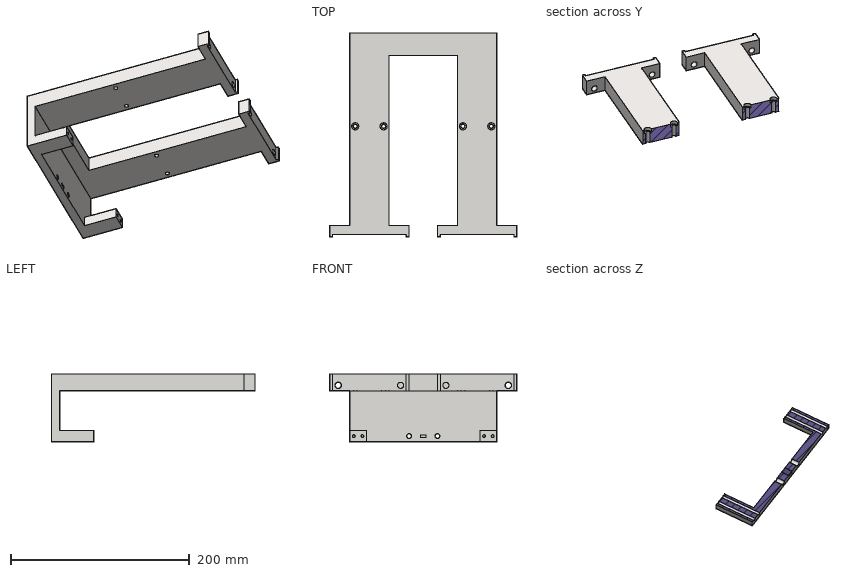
import cadquery as cq

depth = 228.5
height = 76.1

plate_thickness = 19.0
arm_width = 44.3
arm_gap = 76.4
plate_width = 2 * arm_width + arm_gap
arm_centre = (arm_gap + arm_width) / 2
crossbar_depth = 25.4

head_width = 89.0
head_depth = 12.8
lip_width = 3.2
lip_depth = 2.5
head_hole_diameter = 6.9
head_hole_spacing = 70.0
head_hole_drop = 12.8

screw_hole_y = 124.0
screw_hole_spacing = 31.8
screw_hole_diameter = 4.3
counterbore_diameter = 8.0
counterbore_depth = 4.1

wall_thickness = 9.5
lug_width = 19.0
lug_height = 12.8
lug_length = 47.8
lug_hole_diameter = 2.7
lug_hole_spacing = 9.5

hole_line_height = lug_height / 2
wall_hole_diameter = 5.0
wall_hole_spacing = 31.8
key_width = 6.5
key_height = 2.7

hole_line_z = hole_line_height - height
wall_front_y = depth - wall_thickness
sides = (-1, 1)


def box_between(x_range, y_range, z_range):
    """Box spanning the given (low, high) range on each axis."""
    lows, highs = zip(x_range, y_range, z_range)
    size = [high - low for low, high in zip(lows, highs)]
    return cq.Workplane("XY").box(*size, centered=False).translate(lows)


def rod_along_y(x, z, diameter, y_start, y_end):
    """Cylinder parallel to Y, used to cut a round hole."""
    return (
        cq.Workplane("XZ", origin=(x, y_start, z))
        .circle(diameter / 2)
        .extrude(y_start - y_end)
    )


def make_head(centre_x):
    """Mounting head with a shallow front recess between two lips and two holes."""
    half_width = head_width / 2
    half_recess = half_width - lip_width
    plate_z = (-plate_thickness, 0)
    head = box_between((centre_x - half_width, centre_x + half_width), (0, head_depth), plate_z)
    recess = box_between((centre_x - half_recess, centre_x + half_recess), (0, lip_depth), plate_z)
    head = head.cut(recess)
    for side in sides:
        hole_x = centre_x + side * head_hole_spacing / 2
        head = head.cut(rod_along_y(hole_x, -head_hole_drop, head_hole_diameter, 0, head_depth))
    return head


def make_arm(centre_x):
    """Arm running the full depth behind its head, with two counterbored holes."""
    arm = box_between(
        (centre_x - arm_width / 2, centre_x + arm_width / 2),
        (lip_depth, depth),
        (-plate_thickness, 0),
    )
    hole_points = [(centre_x + side * screw_hole_spacing / 2, screw_hole_y) for side in sides]
    return (
        arm.faces(">Z")
        .workplane(origin=(0, 0, 0))
        .pushPoints(hole_points)
        .cboreHole(screw_hole_diameter, counterbore_diameter, counterbore_depth)
    )


def make_lug(side):
    """Lug reaching forward from the wall's lower corner on the given side."""
    outer_x = side * plate_width / 2
    inner_x = outer_x - side * lug_width
    return box_between(
        sorted((inner_x, outer_x)),
        (depth - lug_length, depth),
        (-height, lug_height - height),
    )


def make_key():
    """Rectangular key filling its slot through the rear wall."""
    return box_between(
        (-key_width / 2, key_width / 2),
        (wall_front_y, depth),
        (hole_line_z - key_height / 2, hole_line_z + key_height / 2),
    )


def make_bracket():
    """Fork-shaped plate with heads, rear wall and lugs as one solid."""
    half_width = plate_width / 2
    wall = box_between((-half_width, half_width), (wall_front_y, depth), (-height, 0))
    crossbar = box_between(
        (-half_width, half_width), (depth - crossbar_depth, depth), (-plate_thickness, 0)
    )
    bracket = wall.union(crossbar)
    for side in sides:
        bracket = bracket.union(make_arm(side * arm_centre))
        bracket = bracket.union(make_head(side * arm_centre))
        bracket = bracket.union(make_lug(side))

    lug_centre = half_width - lug_width / 2
    for side in sides:
        wall_hole_x = side * wall_hole_spacing / 2
        bracket = bracket.cut(
            rod_along_y(wall_hole_x, hole_line_z, wall_hole_diameter, wall_front_y, depth)
        )
        for offset in sides:
            lug_hole_x = side * lug_centre + offset * lug_hole_spacing / 2
            bracket = bracket.cut(
                rod_along_y(lug_hole_x, hole_line_z, lug_hole_diameter, depth - lug_length, depth)
            )
    return bracket.cut(make_key())


bracket = make_bracket()
key = make_key()

result = cq.Compound.makeCompound([bracket.val(), key.val()])